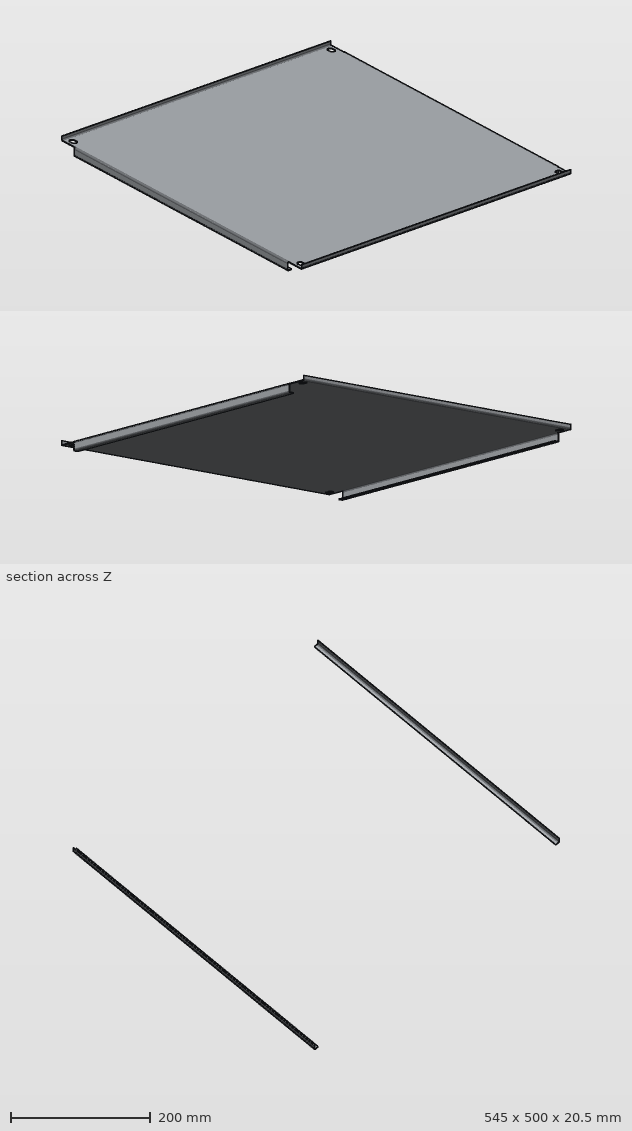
import cadquery as cq

length_x = 545.0
width_y = 500.0
height_z = 20.5

sheet = 1.5
inner_bend = 0.75
outer_bend = inner_bend + sheet

upturn_height = 7.5
panel_width = width_y - 2 * outer_bend

panel_top = height_z - upturn_height + sheet
flange_inset = 30.5
flange_length = length_x - 2 * flange_inset
lip_width = 7.5

slot_length = 13.5
slot_width = 8.5
slot_from_end = 14.0
slot_from_side = 10.0


def box(x_range, y_range, z_range):
    """Box spanning the given (low, high) ranges."""
    low, high = zip(x_range, y_range, z_range)
    size = [b - a for a, b in zip(low, high)]
    return cq.Workplane("XY").box(*size, centered=False).translate(low)


def upturned_tray():
    """Flat panel with a rounded upward bend along both X edges."""
    panel_bottom = panel_top - sheet
    half_x = length_x / 2
    half_y = panel_width / 2
    y_range = (-half_y, half_y)
    blank = box((-half_x, half_x), y_range, (panel_bottom, height_z))
    blank = blank.edges("|Y and <Z").fillet(outer_bend)
    inner_half_x = half_x - sheet
    cutter = box((-inner_half_x, inner_half_x), y_range, (panel_top, height_z + sheet))
    return blank.cut(cutter.edges("|Y and <Z").fillet(inner_bend))


def lipped_channel():
    """Downturned channel whose lower lips point inward."""
    half_x = flange_length / 2
    half_y = width_y / 2
    x_range = (-half_x, half_x)
    inner_half_y = half_y - sheet
    opening_half_y = half_y - lip_width
    outer = box(x_range, (-half_y, half_y), (0, panel_top)).edges("|X").fillet(outer_bend)
    inner = box(x_range, (-inner_half_y, inner_half_y), (sheet, panel_top - sheet))
    inner = inner.edges("|X").fillet(inner_bend)
    opening = box(x_range, (-opening_half_y, opening_half_y), (0, panel_top - sheet))
    return outer.cut(inner).cut(opening)


def corner_slots():
    """Cutters for the four slots, elongated along X."""
    slot_x_spacing = length_x - 2 * slot_from_end
    slot_y_spacing = panel_width - 2 * slot_from_side
    return (
        cq.Workplane("XY")
        .rarray(slot_x_spacing, slot_y_spacing, 2, 2)
        .slot2D(slot_length, slot_width)
        .extrude(height_z)
    )


result = upturned_tray().union(lipped_channel()).cut(corner_slots())